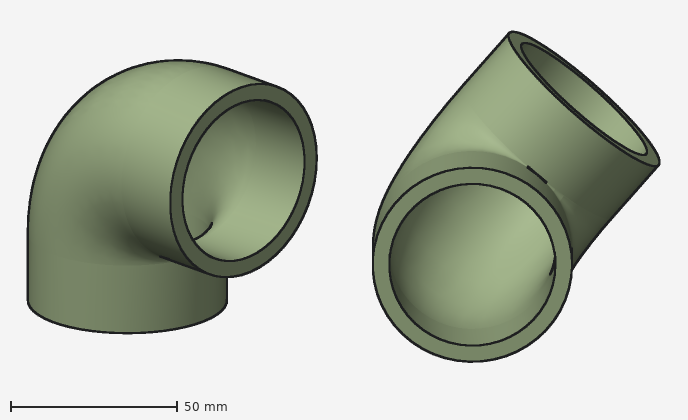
import cadquery as cq

overall_length = 81.5
outer_diameter = 60.0
bore_diameter = 50.0

bend_radius = outer_diameter / 2
collar_length = overall_length - outer_diameter


def elbow(diameter):
    """Solid 90 degree bend with a straight collar at each end, opening toward -Z and +X."""
    lower_collar = cq.Workplane("XY").circle(diameter / 2).extrude(collar_length)
    bend = (
        cq.Workplane("XY", origin=(0, 0, collar_length))
        .circle(diameter / 2)
        .revolve(90, (bend_radius, 0), (bend_radius, 1))
    )
    side_collar = (
        cq.Workplane("YZ", origin=(bend_radius, 0, collar_length + bend_radius))
        .circle(diameter / 2)
        .extrude(collar_length)
    )
    return lower_collar.union(bend).union(side_collar)


result = elbow(outer_diameter).cut(elbow(bore_diameter))